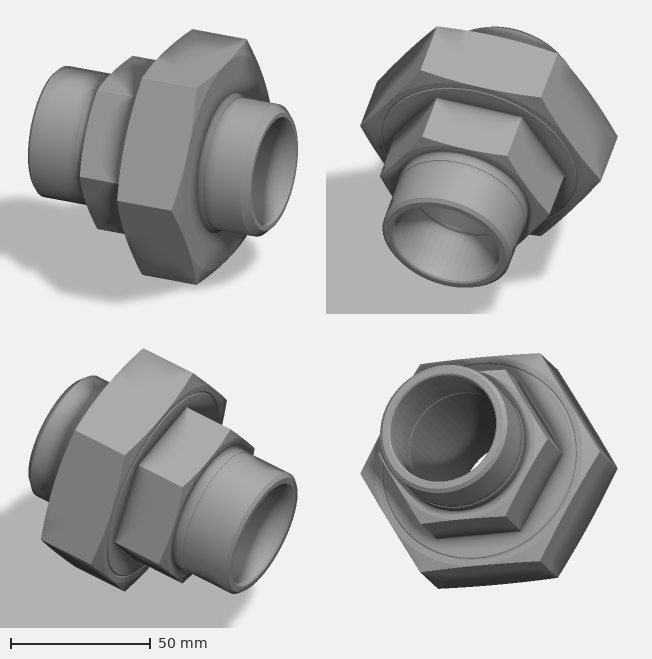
import cadquery as cq
import math


neck_start = 19.1
collar_start = 23.0
nut_start = 42.9
nut_end = 67.4
tail_start = 69.2
total_length = 86.3

nut_width = 90.0
collar_across_flats = 55.0
hex_chamfer_angle = 15.0
hex_corner_radius = 0.2

spigot_radius = 23.9
spigot_chamfer = 1.3
neck_radius = 24.2
neck_fillet = 0.45
tail_radius = 24.1
tail_chamfer = 2.6
shoulder_radius = 25.55
collar_fillet = 0.45

groove_inner_radius = 35.9
groove_floor_inner_radius = 36.3
groove_floor_outer_radius = 36.5
groove_outer_radius = 36.9
groove_depth = 0.4

bore_radius = 19.9
bore_chamfer = 0.5

cutter_margin = 0.9
selection_margin = 0.1

corner_ratio = 1 / math.cos(math.radians(30))
nut_across_corners = nut_width + 2 * hex_corner_radius * (corner_ratio - 1)
nut_across_flats = nut_across_corners / corner_ratio
collar_across_corners = collar_across_flats * corner_ratio


def revolve_about_x(points):
    """Solid of revolution from (x, radius) points."""
    return cq.Workplane("XZ").polyline(points).close().revolve(360, (0, 0, 0), (1, 0, 0))


def hex_prism(start, end, across_corners):
    """Hexagonal prism along X with rounded corners, two of them on +Y and -Y."""
    return (
        cq.Workplane("YZ", origin=(start, 0, 0))
        .polygon(6, across_corners)
        .extrude(end - start)
        .edges("|X")
        .fillet(hex_corner_radius)
    )


def corner_cone(face_x, inward, across_flats, across_corners):
    """Ring outside the cone that bevels hexagon corners; inward is +1 or -1 along X."""
    flat_radius = across_flats / 2
    outer_radius = across_corners / 2 + cutter_margin
    depth = (outer_radius - flat_radius) * math.tan(math.radians(hex_chamfer_angle))
    return revolve_about_x([
        (face_x, flat_radius),
        (face_x, outer_radius),
        (face_x + inward * depth, outer_radius),
    ])


nut = hex_prism(nut_start, nut_end, nut_across_corners)
nut = nut.cut(corner_cone(nut_start, 1, nut_across_flats, nut_across_corners))
nut = nut.cut(corner_cone(nut_end, -1, nut_across_flats, nut_across_corners))

collar = hex_prism(collar_start, nut_start, collar_across_corners)
body = nut.union(collar)
collar_side_reach = collar_across_corners / 2 + selection_margin
hex_foot = cq.selectors.BoxSelector(
    (nut_start - selection_margin, -collar_side_reach, -collar_side_reach),
    (nut_start + selection_margin, collar_side_reach, collar_side_reach),
)
body = body.edges(hex_foot).fillet(collar_fillet)
body = body.cut(corner_cone(collar_start, 1, collar_across_flats, collar_across_corners))

body = body.cut(revolve_about_x([
    (nut_start, groove_inner_radius),
    (nut_start + groove_depth, groove_floor_inner_radius),
    (nut_start + groove_depth, groove_floor_outer_radius),
    (nut_start, groove_outer_radius),
]))

spigot = (
    cq.Workplane("XZ")
    .lineTo(0, spigot_radius - spigot_chamfer)
    .lineTo(spigot_chamfer, spigot_radius)
    .lineTo(neck_start, spigot_radius)
    .lineTo(neck_start, neck_radius)
    .lineTo(collar_start - neck_fillet, neck_radius)
    .radiusArc((collar_start, neck_radius + neck_fillet), -neck_fillet)
    .lineTo(collar_start, 0)
    .close()
    .revolve(360, (0, 0, 0), (1, 0, 0))
)

tail = revolve_about_x([
    (nut_end, 0),
    (nut_end, shoulder_radius),
    (tail_start, tail_radius),
    (total_length - tail_chamfer, tail_radius),
    (total_length, tail_radius - tail_chamfer),
    (total_length, 0),
])

bore = revolve_about_x([
    (0, 0),
    (0, bore_radius + bore_chamfer),
    (bore_chamfer, bore_radius),
    (collar_start - bore_chamfer, bore_radius),
    (collar_start, bore_radius + bore_chamfer),
    (collar_start + bore_chamfer, bore_radius),
    (total_length, bore_radius),
    (total_length, 0),
])

result = body.union(spigot).union(tail).cut(bore)